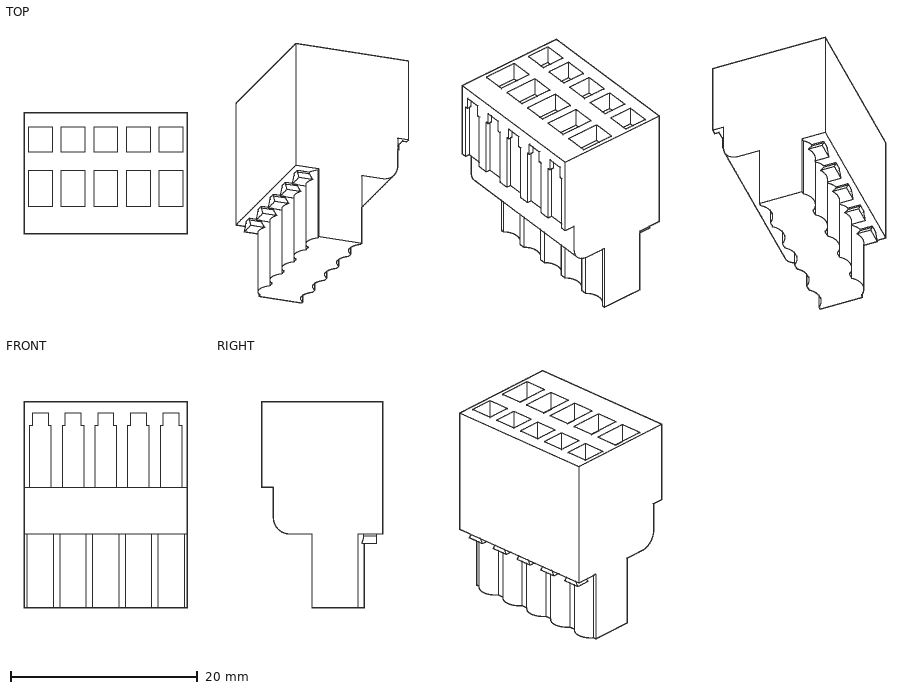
import cadquery as cq
import math


pole_count = 5
pitch = 3.5
width = pole_count * pitch
depth = 13.0
height = 22.1

housing_height = 14.2
housing_bottom = height - housing_height
lip_height = 9.2
lip_overhang = 1.25
front_edge_radius = 1.8

plug_front = 5.4
plug_back = 10.32
flute_chord = 2.82
flute_depth = 0.7

slot_depth = 0.5
slot_width = 2.3
slot_neck_width = 1.7
slot_top = height - 1.2
slot_shoulder = height - 2.55

pocket_width = 2.55
pocket_depth = 2.1
front_pocket_start = 2.95
front_pocket_end = 6.8
back_pocket_start = 8.75
back_pocket_end = 11.45

tab_back = depth - 0.67
tab_neck_width = 1.05
tab_base_width = 1.94
tab_neck_height = 0.2
tab_height = 1.0

pole_positions = [(i - (pole_count - 1) / 2) * pitch for i in range(pole_count)]


def make_housing():
    """Side profile of the housing, extruded across the full width."""
    lip_bottom = height - lip_height
    arc_offset = front_edge_radius * (1 - math.sqrt(0.5))
    profile = (
        cq.Workplane("YZ")
        .moveTo(0, height)
        .lineTo(0, lip_bottom)
        .lineTo(lip_overhang, lip_bottom)
        .lineTo(lip_overhang, housing_bottom + front_edge_radius)
        .threePointArc(
            (lip_overhang + arc_offset, housing_bottom + arc_offset),
            (lip_overhang + front_edge_radius, housing_bottom),
        )
        .lineTo(depth, housing_bottom)
        .lineTo(depth, height)
        .close()
    )
    return profile.extrude(width / 2, both=True)


def make_plug():
    """Plug with a concave flute at the front and a convex rib at the back of each pole."""
    outline = cq.Workplane("XY").moveTo(-width / 2, plug_front)
    for x in pole_positions:
        outline = outline.lineTo(x - flute_chord / 2, plug_front).threePointArc(
            (x, plug_front + flute_depth), (x + flute_chord / 2, plug_front)
        )
    outline = outline.lineTo(width / 2, plug_front).lineTo(width / 2, plug_back)
    for x in reversed(pole_positions):
        outline = outline.lineTo(x + flute_chord / 2, plug_back).threePointArc(
            (x, plug_back + flute_depth), (x - flute_chord / 2, plug_back)
        )
    outline = outline.lineTo(-width / 2, plug_back).close()
    return outline.extrude(housing_bottom)


def make_slot(x):
    """Shallow slot with a narrower top, cut into the front face of the lip."""
    lip_bottom = height - lip_height
    outline = [
        (x - slot_width / 2, lip_bottom),
        (x - slot_width / 2, slot_shoulder),
        (x - slot_neck_width / 2, slot_shoulder),
        (x - slot_neck_width / 2, slot_top),
        (x + slot_neck_width / 2, slot_top),
        (x + slot_neck_width / 2, slot_shoulder),
        (x + slot_width / 2, slot_shoulder),
        (x + slot_width / 2, lip_bottom),
    ]
    return cq.Workplane("XZ").polyline(outline).close().extrude(-slot_depth)


def make_pocket(x, start, end):
    """Blind rectangular pocket in the top, running from start to end along Y."""
    return (
        cq.Workplane("XY", origin=(x, (start + end) / 2, height - pocket_depth))
        .rect(pocket_width, end - start)
        .extrude(pocket_depth)
    )


def make_tab(x):
    """Tab that widens downward, joining the plug's rib and the underside of the housing."""
    shoulder = housing_bottom - tab_neck_height
    base = housing_bottom - tab_height
    outline = [
        (x - tab_neck_width / 2, housing_bottom),
        (x - tab_neck_width / 2, shoulder),
        (x - tab_base_width / 2, base),
        (x + tab_base_width / 2, base),
        (x + tab_neck_width / 2, shoulder),
        (x + tab_neck_width / 2, housing_bottom),
    ]
    return (
        cq.Workplane("XZ", origin=(0, plug_back, 0))
        .polyline(outline)
        .close()
        .extrude(plug_back - tab_back)
    )


result = make_housing().union(make_plug())
for pole_x in pole_positions:
    result = result.union(make_tab(pole_x))
    result = result.cut(make_slot(pole_x))
    result = result.cut(make_pocket(pole_x, front_pocket_start, front_pocket_end))
    result = result.cut(make_pocket(pole_x, back_pocket_start, back_pocket_end))